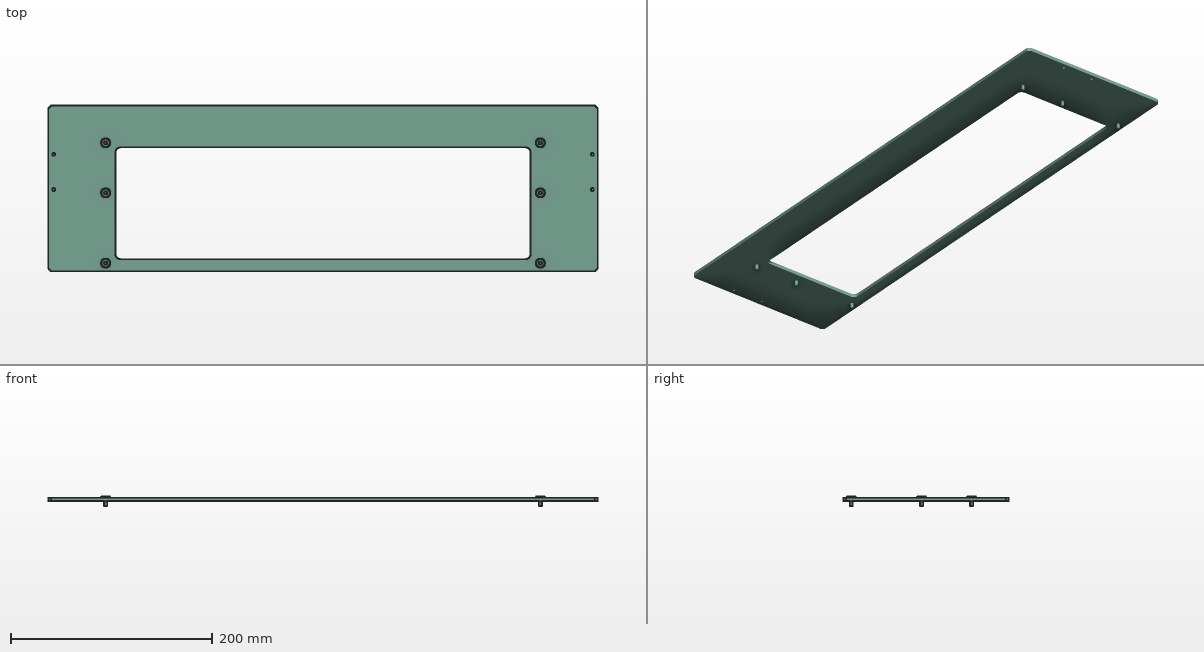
import cadquery as cq
import math

PLATE_LENGTH = 546.0
PLATE_WIDTH = 165.0
PLATE_THICKNESS = 3.55
PLATE_CORNER_CHAMFER = 3.0

WINDOW_LENGTH = 412.0
WINDOW_WIDTH = 111.0
WINDOW_CENTRE_Y = -15.0
WINDOW_CORNER_RADIUS = 5.0

END_HOLE_DIAMETER = 3.0
END_HOLE_EDGE_DISTANCE = 5.5
END_HOLE_ROWS_Y = (34.0, -1.0)

SCREW_SPACING_X = 432.0
SCREW_ROWS_Y = (45.5, -4.5, -74.0)
SHANK_DIAMETER = 3.5
TIP_CHAMFER = 0.5
HEAD_DIAMETER = 9.5
HEAD_HEIGHT = 1.25
HEAD_EDGE_CHAMFER = 0.65
SHANK_LENGTH = 9.0
HEXAGON_SIDES = 6
SOCKET_ACROSS_FLATS = 3.0
SOCKET_DEPTH = 0.8
HEXAGON_FLATS_TO_CORNERS = 1 / math.cos(math.pi / HEXAGON_SIDES)


def mirrored_pairs(offset_x, rows_y):
    """Points at -X and +X of the middle for every row."""
    return [(side * offset_x, y) for side in (-1, 1) for y in rows_y]


END_HOLE_POINTS = mirrored_pairs(PLATE_LENGTH / 2 - END_HOLE_EDGE_DISTANCE, END_HOLE_ROWS_Y)
SCREW_POINTS = mirrored_pairs(SCREW_SPACING_X / 2, SCREW_ROWS_Y)


def plate_thick_block(length, width, centre_y=0.0):
    """Rectangular block as thick as the plate."""
    return cq.Workplane("XY").center(0, centre_y).rect(length, width).extrude(PLATE_THICKNESS)


def through_cylinders(points, diameter):
    """Plate-thick cylinders that cut round holes."""
    return cq.Workplane("XY").pushPoints(points).circle(diameter / 2).extrude(PLATE_THICKNESS)


def make_plate():
    """Flat frame with its window, end holes and close-fitting screw holes."""
    plate = plate_thick_block(PLATE_LENGTH, PLATE_WIDTH)
    plate = plate.edges("|Z").chamfer(PLATE_CORNER_CHAMFER)
    window = plate_thick_block(WINDOW_LENGTH, WINDOW_WIDTH, WINDOW_CENTRE_Y)
    window = window.edges("|Z").fillet(WINDOW_CORNER_RADIUS)
    end_holes = through_cylinders(END_HOLE_POINTS, END_HOLE_DIAMETER)
    screw_holes = through_cylinders(SCREW_POINTS, SHANK_DIAMETER)
    return plate.cut(window).cut(end_holes).cut(screw_holes)


def make_screw(x, y):
    """Hexagon socket screw whose head rests on the top face of the plate."""
    seat = cq.Workplane("XY", origin=(x, y, PLATE_THICKNESS))
    head = (
        seat.circle(HEAD_DIAMETER / 2)
        .extrude(HEAD_HEIGHT)
        .faces(">Z")
        .chamfer(HEAD_EDGE_CHAMFER)
    )
    shank = (
        seat.circle(SHANK_DIAMETER / 2)
        .extrude(-SHANK_LENGTH)
        .faces("<Z")
        .chamfer(TIP_CHAMFER)
    )
    socket = (
        seat.workplane(offset=HEAD_HEIGHT)
        .polygon(HEXAGON_SIDES, SOCKET_ACROSS_FLATS * HEXAGON_FLATS_TO_CORNERS)
        .extrude(-SOCKET_DEPTH)
    )
    return head.union(shank).cut(socket)


plate = make_plate()
screws = [make_screw(x, y) for x, y in SCREW_POINTS]

result = cq.Compound.makeCompound([plate.val(), *[screw.val() for screw in screws]])